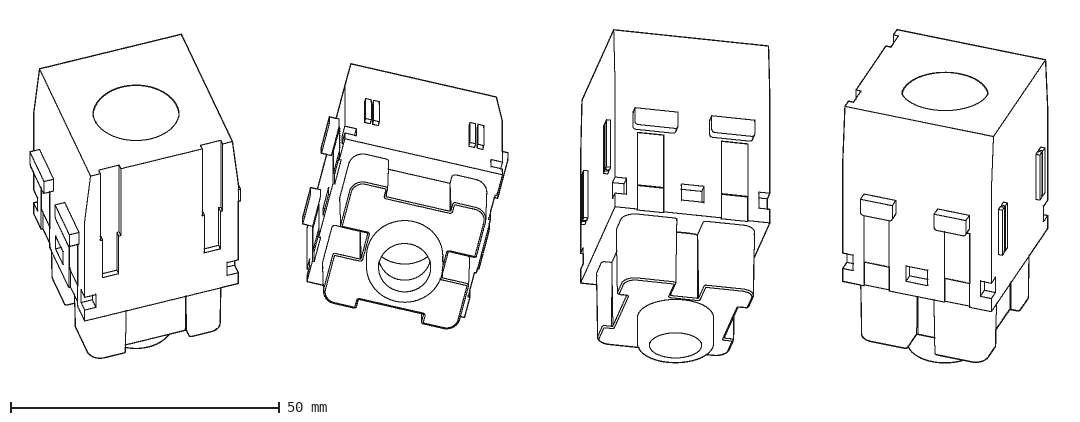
import cadquery as cq
import math


TOTAL_HEIGHT = 57.8
SKIRT_BOTTOM_Z = 5.85
BODY_BOTTOM_Z = 19.6
TAPER_START_Z = 46.3

BODY_X_MIN = -14.8
BODY_X_MAX = 14.7
BODY_Y_HALF = 15.1
BODY_TOP_Y_HALF = 13.95

SKIRT_LENGTH_X = 25.4
SKIRT_LENGTH_Y = 26.4
SKIRT_CORNER_RADIUS = 2.7
SKIRT_BOTTOM_INSET = 0.2
SKIRT_BOTTOM_CHAMFER = 0.3
Y_SIDE_SLOT_WIDTH = 5.0
Y_SIDE_SLOT_DEPTH = 5.3
X_SIDE_SLOT_WIDTH = 12.1
X_SIDE_SLOT_DEPTH = 1.9
SLOT_MOUTH_RADIUS = 0.6

NOSE_RADIUS = 7.1
NOSE_EDGE_RADIUS = 0.5
BORE_MOUTH_RADIUS = 10.0
BORE_MOUTH_FILLET = 2.0
LIP_HEIGHT = 0.9
LIP_OVERHANG = 0.1
SLEEVE_RIM_Z = BODY_BOTTOM_Z
SLEEVE_BORE_RADIUS = 7.0
SLEEVE_RIM_FILLET = 0.42
SLEEVE_FLOOR_RADIUS = 6.85
SLEEVE_FLOOR_Z = SKIRT_BOTTOM_Z
THROUGH_HOLE_RADIUS = 4.85

TAB_TOP_Z = 40.0
TAB_HEIGHT = 3.5
TAB_PROJECTION = 1.9
TAB_EDGE_RADIUS = 0.6
TAB_CENTRE_X = 7.3
FRONT_TAB_WIDTH = 8.2
BACK_TAB_WIDTH = 6.3
RIB_BOTTOM_Z = 30.0
RIB_WIDTH = 1.1
RIB_PROJECTION = 0.8
RIB_PAIR_CENTRE_Y = 10.0
RIB_SPACING = 1.55

RIB_SLOT_DEPTH = 1.0
RIB_SLOT_UPPER_WIDTH = 4.0
RIB_SLOT_LOWER_WIDTH = 3.15

NOTCH_BOTTOM_Z = 22.5
NOTCH_HEIGHT = 3.4
CORNER_NOTCH_X = 12.6
CORNER_NOTCH_DEPTH_Y = 2.2
POCKET_WIDTH = 4.3
POCKET_DEPTH = 2.0

GROOVE_CENTRE_X = 8.0
GROOVE_WIDTH = 5.0
GROOVE_TOP_Z = 35.9
GROOVE_STEP_Z = 24.8
GROOVE_UPPER_DEPTH = 0.1
GROOVE_LOWER_DEPTH = 0.35

SIDES = (-1, 1)


def block(x_range, y_range, z_range):
    """Box between the given limits, which may be listed in either order."""
    lows = [min(r) for r in (x_range, y_range, z_range)]
    lengths = [abs(r[1] - r[0]) for r in (x_range, y_range, z_range)]
    return cq.Workplane("XY").box(*lengths, centered=False).translate(tuple(lows))


def around(centre, width):
    """Limits of a span of the given width about its centre."""
    return (centre - width / 2, centre + width / 2)


def make_body():
    half_outline = [
        (0, BODY_BOTTOM_Z),
        (BODY_Y_HALF, BODY_BOTTOM_Z),
        (BODY_Y_HALF, TAPER_START_Z),
        (BODY_TOP_Y_HALF, TOTAL_HEIGHT),
        (0, TOTAL_HEIGHT),
    ]
    profile = cq.Workplane("YZ", origin=(BODY_X_MIN, 0, 0)).polyline(half_outline).mirrorY()
    return profile.extrude(BODY_X_MAX - BODY_X_MIN)


def make_skirt():
    """Four drafted corner posts joined by a core, from one slotted outline."""
    height = BODY_BOTTOM_Z - SKIRT_BOTTOM_Z
    draft = math.degrees(math.atan(SKIRT_BOTTOM_INSET / height))
    half_x = SKIRT_LENGTH_X / 2
    half_y = SKIRT_LENGTH_Y / 2
    outline = cq.Sketch().rect(SKIRT_LENGTH_X, SKIRT_LENGTH_Y).vertices().fillet(SKIRT_CORNER_RADIUS)
    outline = (
        outline.reset()
        .push([(0, side * half_y) for side in SIDES])
        .rect(Y_SIDE_SLOT_WIDTH, 2 * Y_SIDE_SLOT_DEPTH, mode="s")
        .reset()
        .push([(side * half_x, 0) for side in SIDES])
        .rect(2 * X_SIDE_SLOT_DEPTH, X_SIDE_SLOT_WIDTH, mode="s")
        .reset()
    )
    mouths = [(sx * Y_SIDE_SLOT_WIDTH / 2, sy * half_y) for sx in SIDES for sy in SIDES]
    mouths += [(sx * half_x, sy * X_SIDE_SLOT_WIDTH / 2) for sx in SIDES for sy in SIDES]
    for x, y in mouths:
        outline = outline.vertices(cq.NearestToPointSelector((x, y, 0))).fillet(SLOT_MOUTH_RADIUS).reset()
    skirt = (
        cq.Workplane("XY", origin=(0, 0, BODY_BOTTOM_Z))
        .placeSketch(outline)
        .extrude(-height, taper=draft)
    )
    return skirt.faces("<Z").edges().chamfer(SKIRT_BOTTOM_CHAMFER)


def make_nose():
    nose = cq.Workplane("XY").circle(NOSE_RADIUS).extrude(BODY_BOTTOM_Z)
    return nose.faces("<Z").edges().fillet(NOSE_EDGE_RADIUS)


def round_edge(profile, bore_radius, rim_z, fillet):
    """Run the profile from the bore wall out and up over a rounded rim."""
    offset = fillet * (1 - math.sqrt(0.5))
    middle = (bore_radius + offset, rim_z - offset)
    return profile.lineTo(bore_radius, rim_z - fillet).threePointArc(middle, (bore_radius + fillet, rim_z))


def make_bore():
    """Revolved cutter: through hole, sleeve with rounded rim, wide bore, lip and rounded mouth."""
    lip_radius = BORE_MOUTH_RADIUS - BORE_MOUTH_FILLET
    wide_radius = lip_radius + LIP_OVERHANG
    lip_bottom_z = TOTAL_HEIGHT - BORE_MOUTH_FILLET - LIP_HEIGHT
    profile = (
        cq.Workplane("XZ")
        .lineTo(THROUGH_HOLE_RADIUS, 0)
        .lineTo(THROUGH_HOLE_RADIUS, SLEEVE_FLOOR_Z)
        .lineTo(SLEEVE_FLOOR_RADIUS, SLEEVE_FLOOR_Z)
    )
    profile = round_edge(profile, SLEEVE_BORE_RADIUS, SLEEVE_RIM_Z, SLEEVE_RIM_FILLET)
    profile = (
        profile.lineTo(wide_radius, SLEEVE_RIM_Z)
        .lineTo(wide_radius, lip_bottom_z)
        .lineTo(lip_radius, lip_bottom_z)
    )
    profile = round_edge(profile, lip_radius, TOTAL_HEIGHT, BORE_MOUTH_FILLET)
    return profile.lineTo(0, TOTAL_HEIGHT).close().revolve(360, (0, 0, 0), (0, 1, 0))


def add_tabs(part):
    for side, width in ((-1, FRONT_TAB_WIDTH), (1, BACK_TAB_WIDTH)):
        y_range = (side * BODY_Y_HALF, side * (BODY_Y_HALF + TAB_PROJECTION))
        for x_side in SIDES:
            x_range = around(x_side * TAB_CENTRE_X, width)
            tab = block(x_range, y_range, (TAB_TOP_Z - TAB_HEIGHT, TAB_TOP_Z))
            part = part.union(tab.faces("<Z").edges("|Y").fillet(TAB_EDGE_RADIUS))
    return part


def add_ribs(part):
    x_range = (BODY_X_MIN - RIB_PROJECTION, BODY_X_MIN)
    for pair_side in SIDES:
        for rib_side in SIDES:
            centre_y = pair_side * RIB_PAIR_CENTRE_Y + rib_side * RIB_SPACING / 2
            part = part.union(block(x_range, around(centre_y, RIB_WIDTH), (RIB_BOTTOM_Z, TAB_TOP_Z)))
    return part


def cut_rib_slots(part):
    x_range = (BODY_X_MAX - RIB_SLOT_DEPTH, BODY_X_MAX)
    for side in SIDES:
        centre_y = side * RIB_PAIR_CENTRE_Y
        part = part.cut(block(x_range, around(centre_y, RIB_SLOT_UPPER_WIDTH), (TAB_TOP_Z, TOTAL_HEIGHT)))
        part = part.cut(block(x_range, around(centre_y, RIB_SLOT_LOWER_WIDTH), (RIB_BOTTOM_Z, TAB_TOP_Z)))
    return part


def cut_notches(part):
    z_range = (NOTCH_BOTTOM_Z, NOTCH_BOTTOM_Z + NOTCH_HEIGHT)
    for side in SIDES:
        face_y = side * BODY_Y_HALF
        corner_y_range = (face_y, face_y - side * CORNER_NOTCH_DEPTH_Y)
        part = part.cut(block((BODY_X_MIN, -CORNER_NOTCH_X), corner_y_range, z_range))
        part = part.cut(block((CORNER_NOTCH_X, BODY_X_MAX), corner_y_range, z_range))
        part = part.cut(block(around(0, POCKET_WIDTH), (face_y, face_y - side * POCKET_DEPTH), z_range))
    return part


def cut_grooves(part):
    steps = (
        (GROOVE_UPPER_DEPTH, (GROOVE_STEP_Z, GROOVE_TOP_Z)),
        (GROOVE_LOWER_DEPTH, (BODY_BOTTOM_Z, GROOVE_STEP_Z)),
    )
    for side in SIDES:
        face_y = side * BODY_Y_HALF
        for x_side in SIDES:
            x_range = around(x_side * GROOVE_CENTRE_X, GROOVE_WIDTH)
            for depth, z_range in steps:
                part = part.cut(block(x_range, (face_y, face_y - side * depth), z_range))
    return part


result = make_body().union(make_skirt()).union(make_nose())
result = add_tabs(result)
result = add_ribs(result)
result = cut_rib_slots(result)
result = cut_notches(result)
result = cut_grooves(result)
result = result.cut(make_bore())